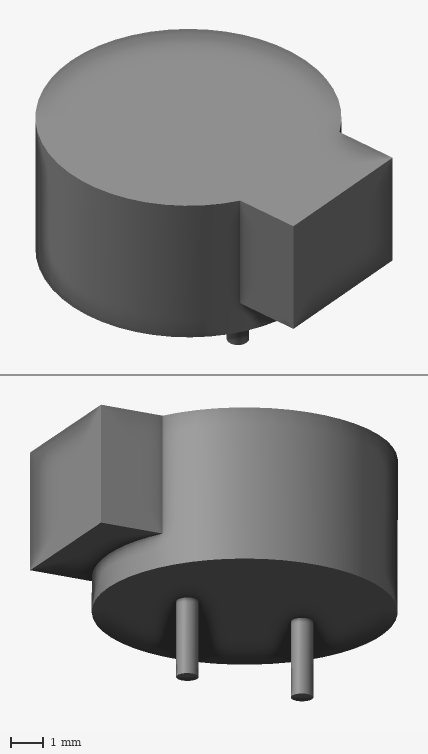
import cadquery as cq

body_diameter = 9.5
body_height = 5.0

overall_length = 11.0
block_width = 4.8
block_height = 3.9
block_end_x = overall_length - body_diameter / 2

pin_diameter = 0.7
pin_length = 2.5
pin_spacing = 4.0


def make_body():
    return cq.Workplane("XY").circle(body_diameter / 2).extrude(body_height)


def make_block():
    """Block running from the body axis out to the +X end, so it merges with the body."""
    return (
        cq.Workplane("XY")
        .workplane(offset=body_height - block_height)
        .box(block_end_x, block_width, block_height, centered=(False, True, False))
    )


def make_pin(x):
    return cq.Workplane("XY").center(x, 0).circle(pin_diameter / 2).extrude(-pin_length)


result = make_body().union(make_block())
for pin_x in (-pin_spacing / 2, pin_spacing / 2):
    result = result.union(make_pin(pin_x))